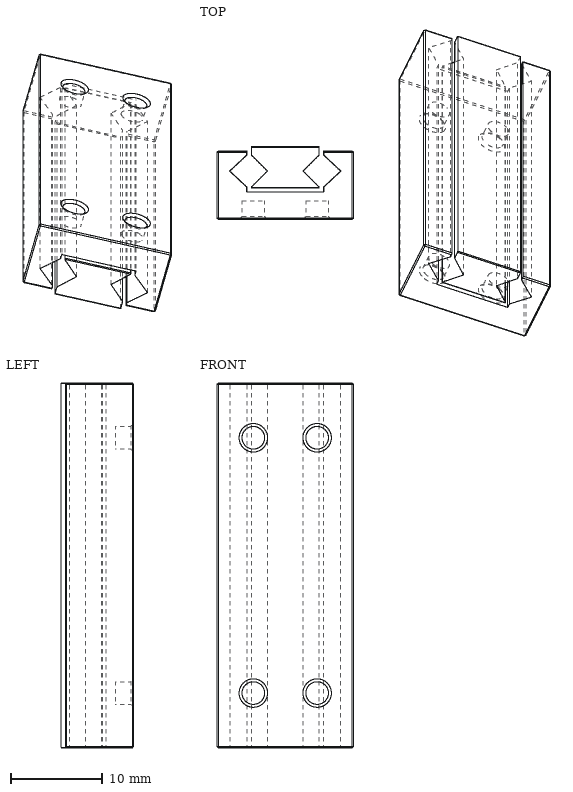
import cadquery as cq

length = 40.0
housing_width = 15.0
total_depth = 8.0
housing_depth = housing_width / 2
housing_chamfer = 0.15
rail_chamfer = 0.1

channel_width = 8.4
channel_depth = 4.5
channel_groove_depth = 1.9

rail_width = 7.45
rail_groove_depth = 1.75
rail_clearance = 0.4

groove_half_height = 1.75
groove_offset = 2.2

hole_diameter = 2.5
hole_depth = 2.0
countersink_diameter = 3.1
hole_spacing_x = 7.0
hole_spacing_z = 28.0

base_y = -total_depth / 2
rail_top_y = total_depth / 2
housing_top_y = base_y + housing_depth
channel_floor_y = housing_top_y - channel_depth
rail_bottom_y = channel_floor_y + rail_clearance
groove_y = housing_top_y - groove_offset


def extrude_along_z(sketch):
    """Extrude an XY outline over the full length, centred on Z = 0."""
    return sketch.extrude(length / 2, both=True)


def v_grooved_outline(width, bottom_y, top_y, apex_half_width):
    """Outline in XY whose two side walls each carry a V with the given apex position."""
    half_width = width / 2
    right_side = [
        (half_width, bottom_y),
        (half_width, groove_y - groove_half_height),
        (apex_half_width, groove_y),
        (half_width, groove_y + groove_half_height),
        (half_width, top_y),
    ]
    left_side = [(-x, y) for x, y in reversed(right_side)]
    return cq.Workplane("XY").polyline(right_side + left_side).close()


def make_mounting_hole(x, z):
    """Blind hole with a 45 degree countersink, drilled along +Y from the base."""
    hole_radius = hole_diameter / 2
    countersink_radius = countersink_diameter / 2
    countersink_depth = countersink_radius - hole_radius
    entry = cq.Vector(x, base_y, z)
    inward = cq.Vector(0, 1, 0)
    bore = cq.Solid.makeCylinder(hole_radius, hole_depth, entry, inward)
    countersink = cq.Solid.makeCone(countersink_radius, hole_radius, countersink_depth, entry, inward)
    return bore.fuse(countersink)


def make_housing():
    block = (
        cq.Workplane("XY")
        .box(housing_width, housing_depth, length)
        .translate((0, (base_y + housing_top_y) / 2, 0))
        .edges()
        .chamfer(housing_chamfer)
    )
    channel_apex = channel_width / 2 + channel_groove_depth
    channel = extrude_along_z(
        v_grooved_outline(channel_width, channel_floor_y, housing_top_y, channel_apex)
    )
    housing = block.cut(channel)
    for x in (-hole_spacing_x / 2, hole_spacing_x / 2):
        for z in (-hole_spacing_z / 2, hole_spacing_z / 2):
            housing = housing.cut(cq.Workplane(make_mounting_hole(x, z)))
    return housing


def make_rail():
    rail_apex = rail_width / 2 - rail_groove_depth
    rail = extrude_along_z(v_grooved_outline(rail_width, rail_bottom_y, rail_top_y, rail_apex))
    return rail.faces("<Y or >Y").edges("|X").chamfer(rail_chamfer)


housing = make_housing()
rail = make_rail()

result = cq.Compound.makeCompound([housing.val(), rail.val()])